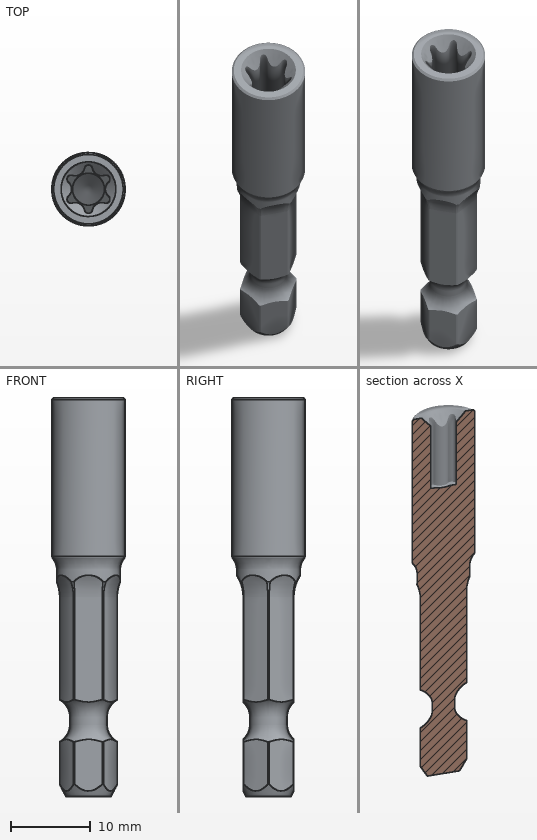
import cadquery as cq
import math

TOTAL_LENGTH = 50.0
SOCKET_RADIUS = 4.6
SOCKET_BOTTOM = 29.9
EDGE_CHAMFER = 0.25

COLLAR_RADIUS = 4.0
COLLAR_TOP = 28.55
COLLAR_FILLET_END_RADIUS = 4.5

FLAT_PAIRS = 3
ACROSS_FLATS = 6.35
CORNER_RADIUS = 3.61
SHANK_TOP = 25.0
FLARE_RADIUS = 5.0

GROOVE_CENTER = 9.525
GROOVE_FLOOR_LENGTH = 1.05
GROOVE_RADIUS = 2.35
GROOVE_FILLET = 2.4

TIP_RADIUS = 2.8
TIP_LENGTH = 1.55

LOBE_COUNT = 6
LOBE_TIP_RADIUS = 3.03
RIB_TIP_RADIUS = 2.12
LOBE_ROUND = 0.5
RECESS_DEPTH = 10.0
MOUTH_RADIUS = 3.43
MOUTH_CONE_HEIGHT = 1.83
DRILL_RADIUS = 2.0
DRILL_POINT_ANGLE = 120.0


def axial_run(radius, offset):
    """Axial run of an arc, tangent to the axis direction, that moves sideways by offset."""
    return math.sqrt(radius**2 - (radius - offset) ** 2)


def tangent_arc_radius(offset, run):
    """Radius of an arc, tangent to the axis direction, that spans offset and run."""
    return (offset**2 + run**2) / (2 * offset)


def arc_midpoint(start, end, radius):
    """Middle of the concave arc leaving start parallel to the axis and reaching end."""
    direction = math.copysign(1, end[1] - start[1])
    half_sweep = math.acos(1 - (end[0] - start[0]) / radius) / 2
    return (
        start[0] + radius * (1 - math.cos(half_sweep)),
        start[1] + direction * radius * math.sin(half_sweep),
    )


def turned_body():
    """Body of revolution: tip, groove, shank corners, collar and socket body."""
    groove_low = (GROOVE_RADIUS, GROOVE_CENTER - GROOVE_FLOOR_LENGTH / 2)
    groove_high = (GROOVE_RADIUS, GROOVE_CENTER + GROOVE_FLOOR_LENGTH / 2)
    groove_run = axial_run(GROOVE_FILLET, CORNER_RADIUS - GROOVE_RADIUS)
    groove_start = (CORNER_RADIUS, groove_low[1] - groove_run)
    groove_end = (CORNER_RADIUS, groove_high[1] + groove_run)

    flare_start = (CORNER_RADIUS, SHANK_TOP)
    flare_run = axial_run(FLARE_RADIUS, COLLAR_RADIUS - CORNER_RADIUS)
    flare_end = (COLLAR_RADIUS, SHANK_TOP + flare_run)

    collar_top = (COLLAR_RADIUS, COLLAR_TOP)
    collar_end = (COLLAR_FILLET_END_RADIUS, SOCKET_BOTTOM)
    collar_fillet = tangent_arc_radius(
        COLLAR_FILLET_END_RADIUS - COLLAR_RADIUS, SOCKET_BOTTOM - COLLAR_TOP
    )

    profile = (
        cq.Workplane("XZ")
        .lineTo(TIP_RADIUS, 0)
        .lineTo(CORNER_RADIUS, TIP_LENGTH)
        .lineTo(*groove_start)
        .threePointArc(arc_midpoint(groove_low, groove_start, GROOVE_FILLET), groove_low)
        .lineTo(*groove_high)
        .threePointArc(arc_midpoint(groove_high, groove_end, GROOVE_FILLET), groove_end)
        .lineTo(*flare_start)
        .threePointArc(arc_midpoint(flare_start, flare_end, FLARE_RADIUS), flare_end)
        .lineTo(*collar_top)
        .threePointArc(arc_midpoint(collar_top, collar_end, collar_fillet), collar_end)
        .lineTo(SOCKET_RADIUS, SOCKET_BOTTOM + EDGE_CHAMFER)
        .lineTo(SOCKET_RADIUS, TOTAL_LENGTH - EDGE_CHAMFER)
        .lineTo(SOCKET_RADIUS - EDGE_CHAMFER, TOTAL_LENGTH)
        .lineTo(0, TOTAL_LENGTH)
        .close()
    )
    return profile.revolve(360, (0, 0, 0), (0, 1, 0))


def flat_pair_envelope():
    """Slab between two opposite flats, flaring out to clear the socket body."""
    half_flats = ACROSS_FLATS / 2
    clear_half_width = SOCKET_RADIUS + EDGE_CHAMFER
    flare_start = (half_flats, SHANK_TOP)
    flare_run = axial_run(FLARE_RADIUS, clear_half_width - half_flats)
    flare_end = (clear_half_width, SHANK_TOP + flare_run)
    middle = arc_midpoint(flare_start, flare_end, FLARE_RADIUS)
    return (
        cq.Workplane("YZ")
        .moveTo(-half_flats, 0)
        .lineTo(half_flats, 0)
        .lineTo(*flare_start)
        .threePointArc(middle, flare_end)
        .lineTo(clear_half_width, TOTAL_LENGTH)
        .lineTo(-clear_half_width, TOTAL_LENGTH)
        .lineTo(-flare_end[0], flare_end[1])
        .threePointArc((-middle[0], middle[1]), (-flare_start[0], flare_start[1]))
        .close()
        .extrude(2 * SOCKET_RADIUS, both=True)
    )


def polar(radius, angle):
    """XY coordinates of a point given by radius and angle in radians."""
    return (radius * math.cos(angle), radius * math.sin(angle))


def six_lobe_prism():
    """Star prism whose lobe rounds and rib rounds are tangent; one lobe points along +Y."""
    pitch = 2 * math.pi / LOBE_COUNT
    lobe_center_radius = LOBE_TIP_RADIUS - LOBE_ROUND
    across = lobe_center_radius * math.cos(pitch / 2)
    rib_round = (
        lobe_center_radius**2 + RIB_TIP_RADIUS**2 - 2 * across * RIB_TIP_RADIUS - LOBE_ROUND**2
    ) / (2 * (LOBE_ROUND + across - RIB_TIP_RADIUS))
    rib_center_radius = RIB_TIP_RADIUS + rib_round

    lobe_share = LOBE_ROUND / (LOBE_ROUND + rib_round)
    rib_center = polar(rib_center_radius, pitch / 2)
    tangent_x = lobe_center_radius + lobe_share * (rib_center[0] - lobe_center_radius)
    tangent_y = lobe_share * rib_center[1]
    tangent_radius = math.hypot(tangent_x, tangent_y)
    tangent_angle = math.atan2(tangent_y, tangent_x)

    first_lobe = math.pi / 2
    star = cq.Workplane("XY").workplane(offset=TOTAL_LENGTH - RECESS_DEPTH)
    star = star.moveTo(*polar(tangent_radius, first_lobe - tangent_angle))
    for index in range(LOBE_COUNT):
        lobe = first_lobe + index * pitch
        star = star.threePointArc(
            polar(LOBE_TIP_RADIUS, lobe), polar(tangent_radius, lobe + tangent_angle)
        )
        star = star.threePointArc(
            polar(RIB_TIP_RADIUS, lobe + pitch / 2),
            polar(tangent_radius, lobe + pitch - tangent_angle),
        )
    return star.close().extrude(RECESS_DEPTH)


def mouth_cone():
    """Lead-in cone narrowing from the mouth to the rib tips."""
    return (
        cq.Workplane("XZ")
        .moveTo(0, TOTAL_LENGTH)
        .lineTo(MOUTH_RADIUS, TOTAL_LENGTH)
        .lineTo(RIB_TIP_RADIUS, TOTAL_LENGTH - MOUTH_CONE_HEIGHT)
        .lineTo(0, TOTAL_LENGTH - MOUTH_CONE_HEIGHT)
        .close()
        .revolve(360, (0, 0, 0), (0, 1, 0))
    )


def drill_point():
    """Conical drill point below the flat floor of the recess."""
    floor = TOTAL_LENGTH - RECESS_DEPTH
    point_height = DRILL_RADIUS / math.tan(math.radians(DRILL_POINT_ANGLE / 2))
    return (
        cq.Workplane("XZ")
        .moveTo(0, floor)
        .lineTo(DRILL_RADIUS, floor)
        .lineTo(0, floor - point_height)
        .close()
        .revolve(360, (0, 0, 0), (0, 1, 0))
    )


result = turned_body()
for pair in range(FLAT_PAIRS):
    envelope = flat_pair_envelope().rotate((0, 0, 0), (0, 0, 1), pair * 180 / FLAT_PAIRS)
    result = result.intersect(envelope)
for cutter in (six_lobe_prism(), mouth_cone(), drill_point()):
    result = result.cut(cutter)